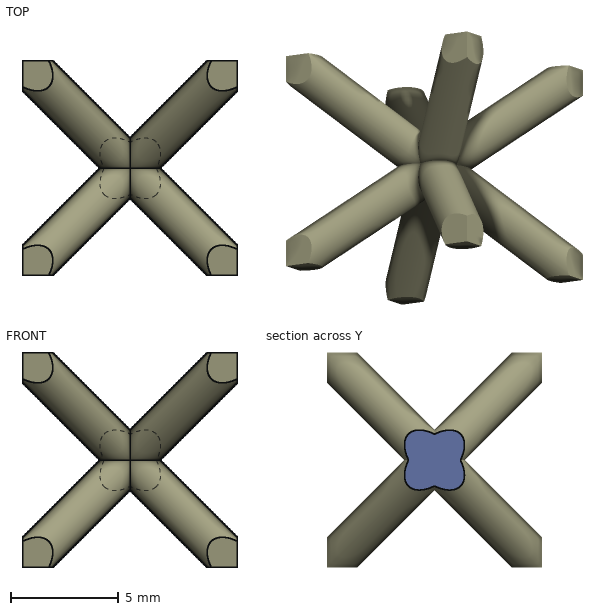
import cadquery as cq

cell_size = 10.0
strut_diameter = 1.99

strut_length = 2 * cell_size


def diagonal_strut(x_sign, y_sign):
    """Round strut through the cell centre, rising toward the upper corner with the given signs."""
    direction = cq.Vector(x_sign, y_sign, 1).normalized()
    start = direction * (-strut_length / 2)
    return cq.Workplane(cq.Solid.makeCylinder(strut_diameter / 2, strut_length, start, direction))


cell = cq.Workplane("XY").box(cell_size, cell_size, cell_size)

struts = diagonal_strut(1, 1)
for x_sign, y_sign in [(1, -1), (-1, 1), (-1, -1)]:
    struts = struts.union(diagonal_strut(x_sign, y_sign))

result = struts.intersect(cell)